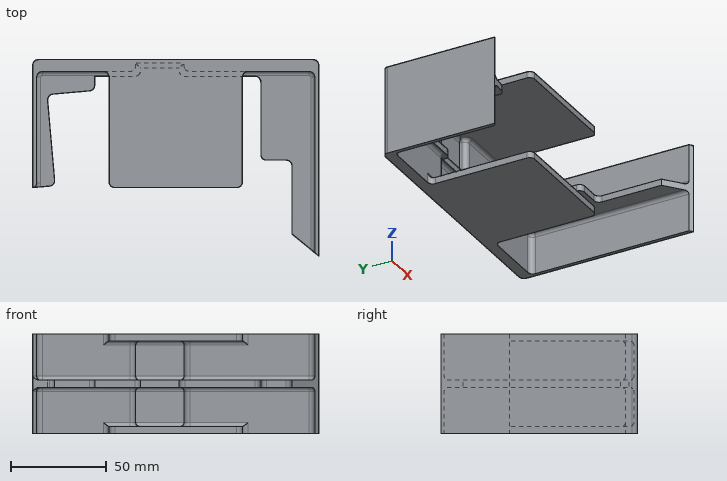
import cadquery as cq
import math

WIDTH = 149.6
DEPTH = 102.8
HEIGHT = 52.0

SIDE_WALL = 2.1
BACK_WALL = 6.3
LEFT_WALL_LENGTH = 67.0
RIGHT_END_RISE = 11.5
RIGHT_END_RUN = 14.0
CORNER_R = 3.0
LEFT_END_R = 2.5
SHARP = 0.0

RECESS_LEFT = 53.9
RECESS_RIGHT = 79.2
RECESS_DEPTH = 4.3

PLATE_THICKNESS = 3.7
PLATE_LEFT = 40.0
PLATE_RIGHT = 109.7
PLATE_REACH = LEFT_WALL_LENGTH
ROOT_R = 2.1

LEDGE = 2.5
SHELF_SLANT = math.radians(5)
LEFT_ARM_END = 32.5
LEFT_ELBOW_X = 7.6
LEFT_ELBOW_Y = -18.4
RIGHT_ARM_START = 119.3
RIGHT_STEP_X = WIDTH - RIGHT_END_RUN
RIGHT_STEP_Y = -52.7

CLEARANCE = 15.0

shelf_bottom = (HEIGHT - PLATE_THICKNESS) / 2
shelf_top = shelf_bottom + PLATE_THICKNESS
wall_face = -BACK_WALL
recess_face = wall_face + RECESS_DEPTH
inner_right = WIDTH - SIDE_WALL
chamber_front = -DEPTH - CLEARANCE


def rounded_prism(corners, bottom, top):
    """Extrude a closed outline of (x, y, corner radius) from bottom to top."""
    path = None
    for i, (x, y, radius) in enumerate(corners):
        before = corners[i - 1]
        after = corners[(i + 1) % len(corners)]
        here = cq.Vector(x, y)
        to_before = (cq.Vector(before[0], before[1]) - here).normalized()
        to_after = (cq.Vector(after[0], after[1]) - here).normalized()
        half_angle = to_before.getAngle(to_after) / 2
        tangent = radius / math.tan(half_angle)
        start = here + to_before * tangent
        if path is None:
            path = cq.Workplane("XY").workplane(offset=bottom).moveTo(start.x, start.y)
        else:
            path = path.lineTo(start.x, start.y)
        if radius > 0:
            bisector = (to_before + to_after).normalized()
            middle = here + bisector * (radius / math.sin(half_angle) - radius)
            end = here + to_after * tangent
            path = path.threePointArc((middle.x, middle.y), (end.x, end.y))
    return path.close().extrude(top - bottom)


def envelope():
    """Solid block with rounded back corners and the slanted end of the right wall."""
    outline = [
        (0, 0, CORNER_R),
        (WIDTH, 0, CORNER_R),
        (WIDTH, -DEPTH, SHARP),
        (RIGHT_STEP_X, -DEPTH + RIGHT_END_RISE, SHARP),
        (RIGHT_STEP_X, -LEFT_WALL_LENGTH, SHARP),
        (0, -LEFT_WALL_LENGTH, SHARP),
    ]
    return rounded_prism(outline, 0, HEIGHT)


def chamber(bottom, top, rim_radius=0.0):
    """Open space inside the walls and the recess, with its top and bottom rims rounded."""
    end_y = -LEFT_WALL_LENGTH - LEFT_END_R + math.sqrt(LEFT_END_R**2 - (LEFT_END_R - SIDE_WALL)**2)
    outline = [
        (-CLEARANCE, chamber_front, SHARP),
        (-CLEARANCE, end_y, SHARP),
        (SIDE_WALL, end_y, LEFT_END_R),
        (SIDE_WALL, wall_face, CORNER_R),
        (RECESS_LEFT, wall_face, CORNER_R),
        (RECESS_LEFT, CLEARANCE, SHARP),
        (RECESS_RIGHT, CLEARANCE, SHARP),
        (RECESS_RIGHT, wall_face, CORNER_R),
        (inner_right, wall_face, CORNER_R),
        (inner_right, chamber_front, SHARP),
    ]
    limit_outline = [
        (-2 * CLEARANCE, recess_face, SHARP),
        (WIDTH + CLEARANCE, recess_face, SHARP),
        (WIDTH + CLEARANCE, chamber_front, SHARP),
        (-2 * CLEARANCE, chamber_front, SHARP),
    ]
    space = rounded_prism(outline, bottom, top)
    limit = rounded_prism(limit_outline, bottom, top)
    if rim_radius > 0:
        space = space.faces("|Z").edges().fillet(rim_radius)
        limit = limit.faces("|Z").edges(">Y").fillet(rim_radius)
    return space.intersect(limit)


def shelf():
    """Mid-height shelf, tall enough to hold its root fillets above and below."""
    slope = math.tan(SHELF_SLANT)
    left_arm_y = LEFT_ELBOW_Y + (LEFT_ARM_END - LEFT_ELBOW_X) * slope
    foot_length = (LEFT_ELBOW_X * math.cos(SHELF_SLANT)
                   + (LEFT_ELBOW_Y + LEFT_WALL_LENGTH) * math.sin(SHELF_SLANT))
    foot_x = foot_length * math.cos(SHELF_SLANT)
    foot_y = -LEFT_WALL_LENGTH + foot_length * math.sin(SHELF_SLANT)
    ledge_y = wall_face - LEDGE
    notch_y = recess_face - LEDGE
    notch_left = RECESS_LEFT + LEDGE
    notch_right = RECESS_RIGHT - LEDGE
    outline = [
        (0, 0, SHARP),
        (0, -LEFT_WALL_LENGTH, SHARP),
        (foot_x, foot_y, CORNER_R),
        (LEFT_ELBOW_X, LEFT_ELBOW_Y, CORNER_R),
        (LEFT_ARM_END, left_arm_y, CORNER_R),
        (LEFT_ARM_END, ledge_y, SHARP),
        (notch_left, ledge_y, CORNER_R),
        (notch_left, notch_y, SHARP),
        (notch_right, notch_y, SHARP),
        (notch_right, ledge_y, CORNER_R),
        (RIGHT_ARM_START, ledge_y, CORNER_R),
        (RIGHT_ARM_START, RIGHT_STEP_Y, CORNER_R),
        (RIGHT_STEP_X, RIGHT_STEP_Y, CORNER_R),
        (RIGHT_STEP_X, -DEPTH + RIGHT_END_RISE, SHARP),
        (WIDTH, -DEPTH, SHARP),
        (WIDTH, 0, SHARP),
    ]
    return rounded_prism(outline, shelf_bottom - ROOT_R, shelf_top + ROOT_R)


def plate(bottom, top):
    """Outer plate with concave plan corners where it leaves the back wall."""
    flare_left = PLATE_LEFT - 2 * CORNER_R
    flare_right = PLATE_RIGHT + 2 * CORNER_R
    outline = [
        (flare_left, 0, SHARP),
        (flare_left, wall_face, SHARP),
        (PLATE_LEFT, wall_face, CORNER_R),
        (PLATE_LEFT, -PLATE_REACH, CORNER_R),
        (PLATE_RIGHT, -PLATE_REACH, CORNER_R),
        (PLATE_RIGHT, wall_face, CORNER_R),
        (flare_right, wall_face, SHARP),
        (flare_right, 0, SHARP),
    ]
    return rounded_prism(outline, bottom, top)


block = envelope()
walls = block.cut(chamber(0, HEIGHT))

plates = (
    shelf()
    .union(plate(0, PLATE_THICKNESS + ROOT_R))
    .union(plate(HEIGHT - PLATE_THICKNESS - ROOT_R, HEIGHT))
)

for bottom, top in ((PLATE_THICKNESS, shelf_bottom), (shelf_top, HEIGHT - PLATE_THICKNESS)):
    plates = plates.cut(chamber(bottom, top, ROOT_R))

result = walls.union(plates.intersect(block))